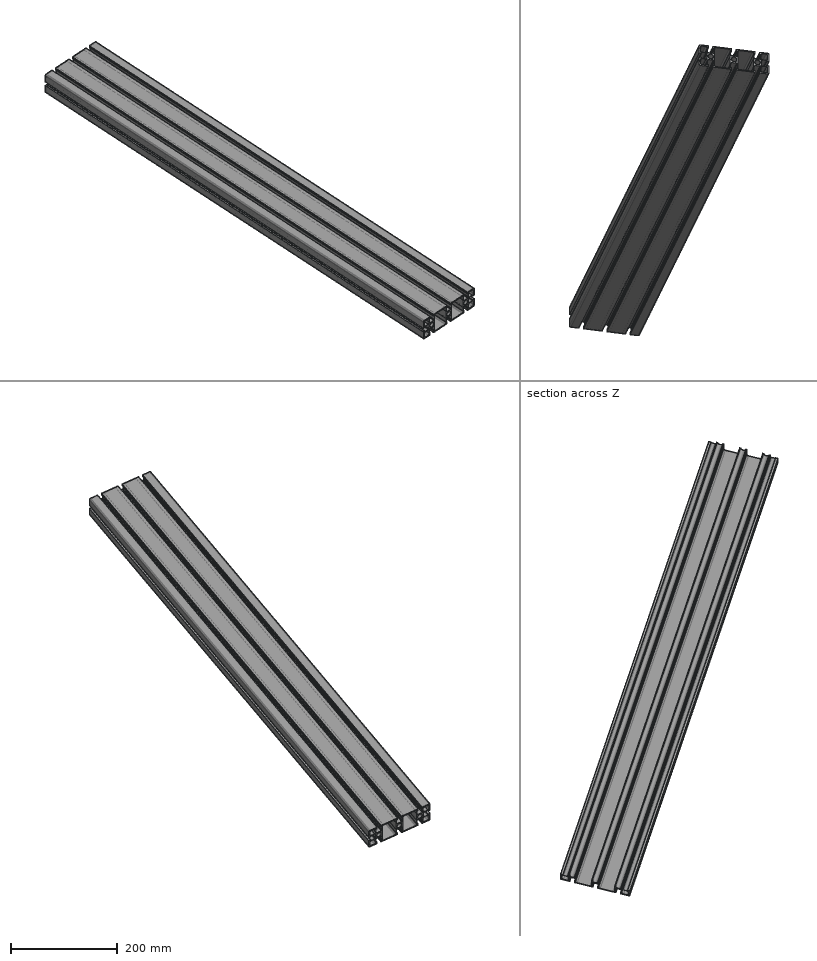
import cadquery as cq

length = 1000.0
module = 45.0
module_count = 3
width = module * module_count
height = module
corner_radius = 2.5

slot_opening = 9.0
lip_thickness = 4.5
slot_depth = 15.0
slot_inner_width = 13.0
slot_floor_chamfer = 1.5

core_hole_diameter = 10.0

chamber_width = 30.0
chamber_wall = 2.0
chamber_fillet = 2.5

corner_chamber_size = 13.0
corner_chamber_fillet = 3.5
corner_wall = 2.5

module_centers = [(i - (module_count - 1) / 2) * module for i in range(module_count)]
chamber_centers = [(a + b) / 2 for a, b in zip(module_centers, module_centers[1:])]


def section():
    """Sketch plane across the bar at its -X end: local x is Y, local y is Z."""
    return cq.Workplane("YZ", origin=(-length / 2, 0, 0))


def t_slot(y, z, angle):
    """T-slot cutter entering from local +Z at a face point, turned about X by the angle."""
    opening = slot_opening / 2
    inner = slot_inner_width / 2
    floor = inner - slot_floor_chamfer
    right_side = [
        (opening, 0),
        (opening, -lip_thickness),
        (inner, -lip_thickness),
        (inner, -slot_depth + slot_floor_chamfer),
        (floor, -slot_depth),
    ]
    left_side = [(-across, depth) for across, depth in reversed(right_side)]
    cutter = section().polyline(right_side + left_side).close().extrude(length)
    return cutter.rotate((0, 0, 0), (1, 0, 0), angle).translate((0, y, z))


def solid_bar():
    return cq.Workplane("XY").box(length, width, height).edges("|X").fillet(corner_radius)


def cut_slots(bar):
    for y in module_centers:
        bar = bar.cut(t_slot(y, height / 2, 0))
        bar = bar.cut(t_slot(y, -height / 2, 180))
    bar = bar.cut(t_slot(width / 2, 0, -90))
    return bar.cut(t_slot(-width / 2, 0, 90))


def cut_core_holes(bar):
    points = [(y, 0) for y in module_centers]
    return bar.cut(section().pushPoints(points).circle(core_hole_diameter / 2).extrude(length))


def cut_main_chambers(bar):
    points = [(y, 0) for y in chamber_centers]
    chamber_height = height - 2 * chamber_wall
    chambers = section().pushPoints(points).rect(chamber_width, chamber_height).extrude(length)
    return bar.cut(chambers.edges("|X").fillet(chamber_fillet))


def cut_corner_chambers(bar):
    inset = corner_wall + corner_chamber_size / 2
    y = width / 2 - inset
    z = height / 2 - inset
    points = [(y, z), (y, -z), (-y, z), (-y, -z)]
    chambers = section().pushPoints(points).rect(corner_chamber_size, corner_chamber_size)
    chambers = chambers.extrude(length)
    return bar.cut(chambers.edges("|X").fillet(corner_chamber_fillet))


result = solid_bar()
result = cut_slots(result)
result = cut_core_holes(result)
result = cut_main_chambers(result)
result = cut_corner_chambers(result)